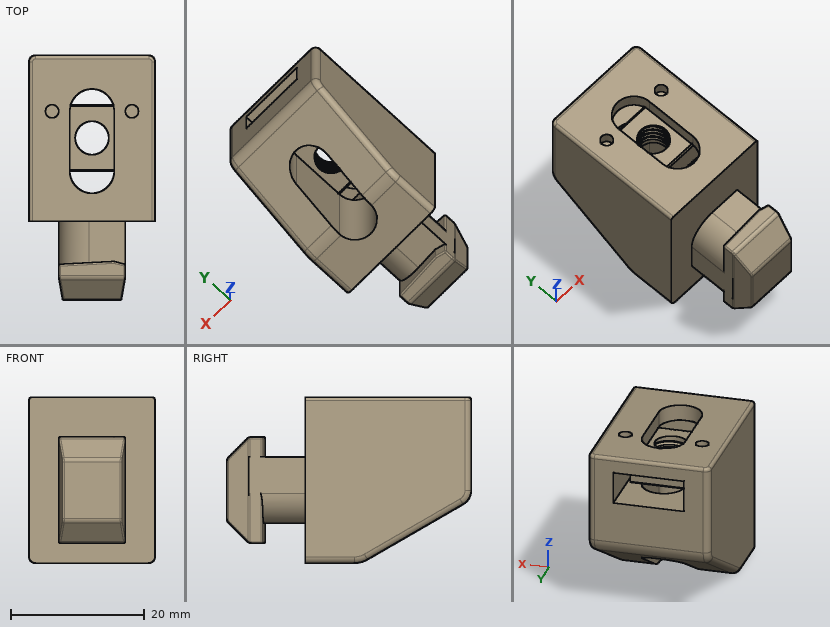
import cadquery as cq
import math


housing_width = 19.0
housing_depth = 25.0
housing_height = 25.0
slope_angle = 30.0
foot_depth = 8.43
slope_top_radius = 2.5
slope_bottom_radius = 4.0
outline_radius = 1.0
top_edge_radius = 0.5

slot_width = 6.65
slot_length = 15.65
slot_center_y = 12.07
slot_front_y = slot_center_y - slot_length / 2
slot_rear_arc_y = slot_center_y + (slot_length - slot_width) / 2
roof_thickness = 2.5
channel_width = 11.0
pin_hole_diameter = 2.0
pin_hole_spacing = 12.0
pin_hole_depth = 2.02

anchor_z = 11.0
anchor_width = 10.0
shank_length = 6.0
shank_corner_radius = 4.5
head_height = 16.0
head_tip_y = -11.8
head_bevel = 3.35
side_taper_angle = 10.0
ridge_offset = 3.3
ramp_angle = 3.0
relief_angle = 15.0
bevel_radius = 1.0
taper_radius = 1.62
head_edge_radius = 0.25

nut_width = 10.0
nut_thickness = 5.0
nut_center_y = 12.55
nut_edge_chamfer = 0.25
thread_minor_radius = 2.5
thread_major_radius = 3.0
thread_inner_radius = 2.4
thread_pitch = 1.0
thread_root_width = 0.15
thread_mouth_width = 0.77

channel_roof_z = housing_height - roof_thickness
channel_floor_z = channel_roof_z - nut_thickness


def round_edges(body, points, radius):
    """Round, in one step, the edges whose middles lie nearest to the given points."""
    edges = [body.edges(cq.NearestToPointSelector(point)).val() for point in points]
    return body.newObject(edges).fillet(radius)


def make_block():
    """Block with a sloped lower rear corner and rounded outside edges; the front face stays sharp."""
    slope_rise = (housing_depth - foot_depth) * math.tan(math.radians(slope_angle))
    block = (
        cq.Workplane("YZ")
        .polyline([
            (0, 0),
            (foot_depth, 0),
            (housing_depth, slope_rise),
            (housing_depth, housing_height),
            (0, housing_height),
        ])
        .close()
        .extrude(housing_width / 2, both=True)
    )
    block = round_edges(block, [(0, foot_depth, 0)], slope_bottom_radius)
    block = round_edges(block, [(0, housing_depth, slope_rise)], slope_top_radius)
    side_outline = block.faces("<X or >X").edges("not(<Y or >Z)")
    block = side_outline.fillet(outline_radius)
    return block.faces(">Z").edges("not <Y").fillet(top_edge_radius)


def make_slot():
    """Vertical through slot for the screw."""
    return (
        cq.Workplane("XY")
        .center(0, slot_center_y)
        .slot2D(slot_length, slot_width, 90)
        .extrude(housing_height)
    )


def make_channel():
    """Nut channel under the roof, open at the rear face."""
    channel_length = housing_depth - slot_front_y
    return (
        cq.Workplane("XY", origin=(0, slot_front_y, channel_floor_z))
        .box(channel_width, channel_length, nut_thickness, centered=(True, False, False))
    )


def make_pin_holes():
    """Two blind holes beside the rear end of the slot."""
    half_spacing = pin_hole_spacing / 2
    return (
        cq.Workplane("XY", origin=(0, slot_rear_arc_y, housing_height))
        .pushPoints([(-half_spacing, 0), (half_spacing, 0)])
        .circle(pin_hole_diameter / 2)
        .extrude(-pin_hole_depth)
    )


def make_shank():
    """Square shank with two diagonally opposite corners rounded."""
    half = anchor_width / 2
    length_into_head = -head_tip_y - head_bevel
    shank = cq.Workplane("XZ").rect(anchor_width, anchor_width).extrude(length_into_head)
    for side in (-1, 1):
        corner = (side * half, -length_into_head / 2, -side * half)
        shank = round_edges(shank, [corner], shank_corner_radius)
    return shank


def make_upper_half_head():
    """Upper half of the head, with its middle plane at Z = 0."""
    half_width = anchor_width / 2
    half_height = head_height / 2
    bevel_y = head_tip_y + head_bevel
    bevel_z = half_height - head_bevel
    tip_half_width = half_width - head_bevel * math.tan(math.radians(side_taper_angle))
    ramp_end_y = -shank_length - (half_width + ridge_offset) * math.tan(math.radians(ramp_angle))
    relief_end_y = -shank_length - (half_width - ridge_offset) * math.tan(math.radians(relief_angle))

    plan = (
        cq.Workplane("XY")
        .polyline([
            (-tip_half_width, head_tip_y),
            (tip_half_width, head_tip_y),
            (half_width, bevel_y),
            (half_width, relief_end_y),
            (ridge_offset, -shank_length),
            (-half_width, ramp_end_y),
            (-half_width, bevel_y),
        ])
        .close()
        .extrude(half_height)
    )
    side_profile = (
        cq.Workplane("YZ")
        .polyline([
            (head_tip_y, 0),
            (head_tip_y, bevel_z),
            (bevel_y, half_height),
            (0, half_height),
            (0, 0),
        ])
        .close()
        .extrude(half_width, both=True)
    )
    head = plan.intersect(side_profile)

    head = round_edges(head, [(0, head_tip_y, bevel_z)], bevel_radius)
    head = round_edges(head, [(0, bevel_y, half_height)], bevel_radius)
    for side in (-1, 1):
        head = round_edges(head, [(side * half_width, bevel_y, half_height / 2)], taper_radius)

    top_middle_y = (bevel_y - shank_length) / 2
    outer_edges = [
        (-half_width, top_middle_y, half_height),
        (half_width, top_middle_y, half_height),
        (-half_width, ramp_end_y, half_height / 2),
        (half_width, relief_end_y, half_height / 2),
        ((ridge_offset - half_width) / 2, (ramp_end_y - shank_length) / 2, half_height),
        ((ridge_offset + half_width) / 2, (relief_end_y - shank_length) / 2, half_height),
    ]
    return round_edges(head, outer_edges, head_edge_radius)


def make_anchor():
    """Shank and head; the lower half of the head is the upper half turned over."""
    upper = make_upper_half_head()
    lower = upper.rotate((0, 0, 0), (0, 1, 0), 180)
    return make_shank().union(upper).union(lower).translate((0, 0, anchor_z))


def make_housing():
    block = make_block().cut(make_channel()).cut(make_slot()).cut(make_pin_holes())
    return block.union(make_anchor())


def make_thread_groove():
    """Helical groove that starts just under the top of the bore, on the -X side, and winds down."""
    helix = cq.Wire.makeHelix(thread_pitch, nut_thickness - thread_mouth_width, thread_minor_radius)
    return (
        cq.Workplane("XZ")
        .polyline([
            (thread_inner_radius, -thread_mouth_width / 2),
            (thread_major_radius, -thread_root_width / 2),
            (thread_major_radius, thread_root_width / 2),
            (thread_inner_radius, thread_mouth_width / 2),
        ])
        .close()
        .sweep(cq.Workplane(helix), isFrenet=True)
        .rotate((0, 0, 0), (0, 1, 0), 180)
        .translate((0, 0, nut_thickness - thread_mouth_width / 2))
    )


def make_nut():
    """Square nut lying in the channel, with a threaded bore."""
    nut = (
        cq.Workplane("XY")
        .rect(nut_width, nut_width)
        .extrude(nut_thickness)
        .edges("|X")
        .chamfer(nut_edge_chamfer)
    )
    bore = cq.Workplane("XY").circle(thread_minor_radius).extrude(nut_thickness)
    nut = nut.cut(bore).cut(make_thread_groove())
    return nut.translate((0, nut_center_y, channel_floor_z))


housing = make_housing()
nut = make_nut()

result = cq.Compound.makeCompound([housing.solids().val(), nut.solids().val()])